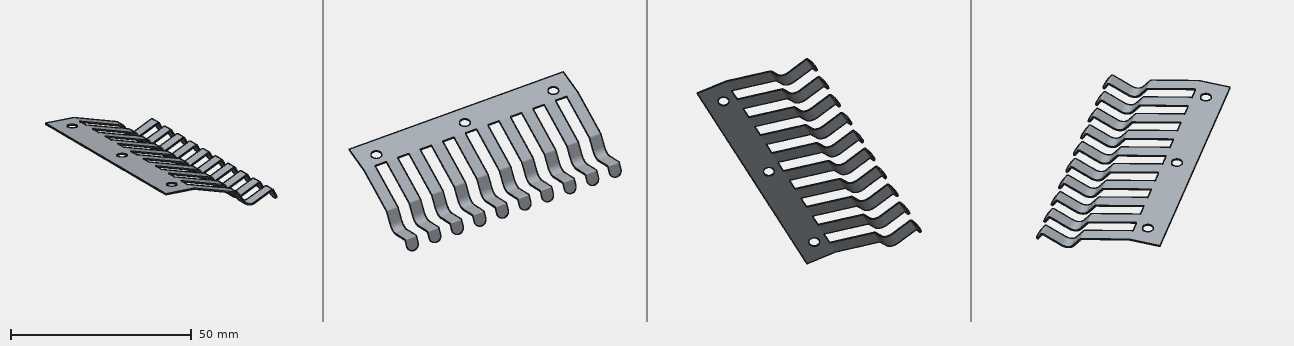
import cadquery as cq
import math


comb_length = 66.5
sheet = 0.4
strip_depth = 8.9

hole_diameter = 3.0
hole_spacing = 27.45
hole_y = 5.25
hole_count = 3

finger_count = 10
finger_width = 3.5
finger_pitch = (comb_length - finger_width) / (finger_count - 1)

shoulder_y = 9.1
knee_y = 22.9
valley_y = 26.35
crest_y = 34.1
tip_y = 36.0
shoulder_radius = 1.0
knee_radius = 0.3
valley_radius = 2.5
crest_radius = 0.03

arm_slope = -15.0
drop_slope = -55.0
rise_slope = 26.3
tip_slope = -60.0

sections = [
    (shoulder_y, 0.0),
    (knee_y, arm_slope),
    (valley_y, drop_slope),
    (crest_y, rise_slope),
    (tip_y, tip_slope),
]
bend_radii = [shoulder_radius, knee_radius, valley_radius, crest_radius]


def section_corners():
    """Corner points (y, z) of the bent finger at mid-thickness, without bend radii."""
    y, z = 0.0, -sheet / 2
    corners = [(y, z)]
    for end_y, slope in sections:
        z += (end_y - y) * math.tan(math.radians(slope))
        y = end_y
        corners.append((y, z))
    return corners


def shifted(point, slope, distance):
    """Move a point square to a section; positive distance is towards its upper face."""
    angle = math.radians(slope)
    return (point[0] - distance * math.sin(angle), point[1] + distance * math.cos(angle))


def bend_arc(corner, slope_in, slope_out, inside_radius, face):
    """Start, middle and end of a bend on the upper (face = 1) or lower (face = -1) side."""
    turn = 1 if slope_out > slope_in else -1
    mid_radius = inside_radius + sheet / 2
    half_turn = math.radians(abs(slope_out - slope_in) / 2)
    mid_slope = (slope_in + slope_out) / 2
    center = shifted(corner, mid_slope, turn * mid_radius / math.cos(half_turn))
    reach = face * sheet / 2 - turn * mid_radius
    return [shifted(center, slope, reach) for slope in (slope_in, mid_slope, slope_out)]


def finger_profile():
    """Closed side outline of one finger, including its root within the rear strip."""
    corners = section_corners()
    slopes = [slope for _, slope in sections]
    bends = list(zip(corners[1:-1], slopes[:-1], slopes[1:], bend_radii))
    half = sheet / 2

    outline = cq.Workplane("YZ").moveTo(*shifted(corners[0], slopes[0], half))
    for bend in bends:
        start, middle, end = bend_arc(*bend, 1)
        outline = outline.lineTo(*start).threePointArc(middle, end)
    outline = outline.lineTo(*shifted(corners[-1], slopes[-1], half))
    outline = outline.lineTo(*shifted(corners[-1], slopes[-1], -half))
    for bend in reversed(bends):
        start, middle, end = bend_arc(*bend, -1)
        outline = outline.lineTo(*end).threePointArc(middle, start)
    return outline.lineTo(*shifted(corners[0], slopes[0], -half)).close()


def tip_trim():
    """Material outside the half-round end of a finger, square to the tip section."""
    tip = section_corners()[-1]
    angle = math.radians(tip_slope)
    plane = cq.Plane(
        origin=(0, tip[0], tip[1]),
        xDir=(1, 0, 0),
        normal=(0, -math.sin(angle), math.cos(angle)),
    )
    radius = finger_width / 2
    return (
        cq.Workplane(plane)
        .moveTo(-radius, -radius)
        .threePointArc((0, 0), (radius, -radius))
        .lineTo(radius, sheet)
        .lineTo(-radius, sheet)
        .close()
        .extrude(sheet, both=True)
    )


def make_finger():
    finger = finger_profile().extrude(finger_width / 2, both=True)
    return finger.cut(tip_trim())


def make_strip():
    strip = cq.Workplane("XY").box(comb_length, strip_depth, sheet, centered=(True, False, False))
    return strip.translate((0, 0, -sheet))


def make_holes():
    return (
        cq.Workplane("XY")
        .center(0, hole_y)
        .rarray(hole_spacing, 0.65, hole_count, 1)
        .circle(hole_diameter / 2)
        .extrude(-sheet)
    )


result = make_strip()
finger = make_finger()
for index in range(finger_count):
    finger_x = (index - (finger_count - 1) / 2) * finger_pitch
    result = result.union(finger.translate((finger_x, 0, 0)))
result = result.cut(make_holes())